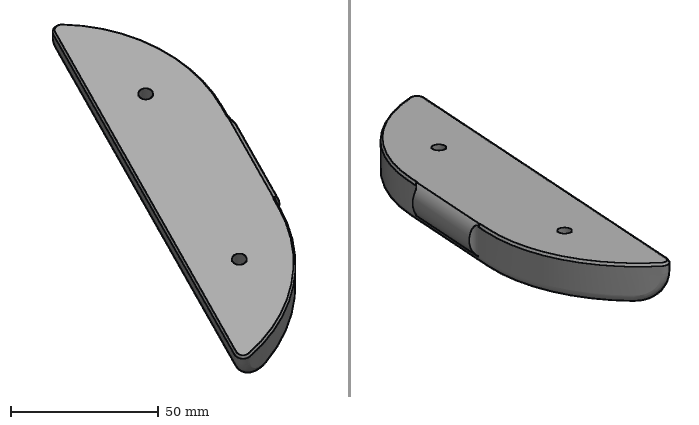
import cadquery as cq
import math

length = 161.08
body_depth = 40.0
overall_depth = 42.44
thickness = 15.0

front_bottom_radius = 11.0
edge_radius = 3.2
top_chamfer_height = 1.0
top_chamfer_inset = 0.7

shoulder_radius = 61.5
shoulder_center_y = body_depth - shoulder_radius

tip_center_offset = math.sqrt(
    (shoulder_radius - edge_radius) ** 2 - (edge_radius - shoulder_center_y) ** 2
)
shoulder_center_x = length / 2 - edge_radius - tip_center_offset

lug_face_radius = 8.3
lug_length = 36.0
lug_center_y = overall_depth - lug_face_radius
lug_center_z = 8.7
lug_foot_radius = 2.0

hole_diameter = 5.0
hole_spacing = 80.0
hole_y = 18.0


def shoulder_point(angle):
    """Point on the right-hand shoulder arc at an angle from +X."""
    x = shoulder_center_x + shoulder_radius * math.cos(angle)
    y = shoulder_center_y + shoulder_radius * math.sin(angle)
    return x, y


def mirrored(point):
    """Matching point on the left-hand half."""
    return -point[0], point[1]


def make_body():
    """Plate with a straight front, two curved shoulders and rounded lower edges."""
    back_angle = math.pi / 2
    tip_angle = math.asin(-shoulder_center_y / shoulder_radius)
    tip = shoulder_point(tip_angle)
    middle = shoulder_point((tip_angle + back_angle) / 2)
    back = shoulder_point(back_angle)
    body = (
        cq.Workplane("XY")
        .moveTo(*mirrored(tip))
        .lineTo(*tip)
        .threePointArc(middle, back)
        .lineTo(*mirrored(back))
        .threePointArc(mirrored(middle), mirrored(tip))
        .close()
        .extrude(thickness)
    )
    body = body.faces("<Y").edges("<Z").fillet(front_bottom_radius)
    tip_edges = body.faces("<Y").edges("|Z")
    curved_tips = body.edges("%BSPLINE")
    lower_edges = body.faces("<Z").edges("not <Y")
    body = tip_edges.add(curved_tips).add(lower_edges).fillet(edge_radius)
    return body.faces(">Z").chamfer(top_chamfer_height, top_chamfer_inset)


def make_lug():
    """Lug with flared feet in plan and a convex back face, grown out of the back edge."""
    half_length = lug_length / 2
    flare_end = half_length + lug_foot_radius
    plan = (
        cq.Workplane("XY")
        .moveTo(-flare_end, lug_center_y)
        .lineTo(flare_end, lug_center_y)
        .lineTo(flare_end, body_depth)
        .radiusArc((half_length, body_depth + lug_foot_radius), lug_foot_radius)
        .lineTo(half_length, overall_depth)
        .lineTo(-half_length, overall_depth)
        .lineTo(-half_length, body_depth + lug_foot_radius)
        .radiusArc((-flare_end, body_depth), lug_foot_radius)
        .close()
        .extrude(thickness)
    )
    face = (
        cq.Workplane("YZ")
        .center(lug_center_y, lug_center_z)
        .circle(lug_face_radius)
        .extrude(flare_end, both=True)
    )
    return plan.intersect(face)


def make_holes():
    """Two plain through holes for screws."""
    return (
        cq.Workplane("XY")
        .pushPoints([(-hole_spacing / 2, hole_y), (hole_spacing / 2, hole_y)])
        .circle(hole_diameter / 2)
        .extrude(thickness)
    )


result = make_body().union(make_lug()).cut(make_holes())